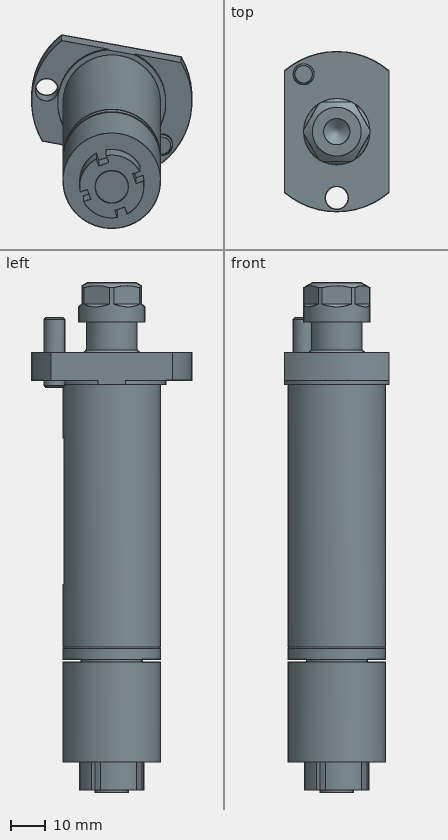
import math

import cadquery as cq

FLANGE_DIAMETER = 46.0
FLANGE_WIDTH = 30.0
FLANGE_BOTTOM = -8.0
COLLAR_DIAMETER = 31.0
COLLAR_BOTTOM = -9.2
PATTERN_RADIUS = 19.0
HOLE_DIAMETER = 6.5
PIN_DIAMETER = 6.0
PIN_ANGLE = 120.0
PIN_TOP = 10.0
PIN_BOTTOM = -10.0
PIN_CHAMFER = 0.5

BODY_DIAMETER = 28.0
BARREL_BOTTOM = -84.5
RING_CHAMFER = 0.4
RING_BOTTOM = -88.0
SLEEVE_TOP = -88.8
SLEEVE_BOTTOM = -117.5
GAP_DIAMETER = 17.5

FLAT_TOP = -24.5
FLAT_LENGTH = 42.0
FLAT_DEPTH = 0.3

COUPLING_DIAMETER = 18.4
COUPLING_BOTTOM = -125.5
CORE_DIAMETER = 9.5
CORE_BOTTOM = -126.2
SLOT_COUNT = 4
SLOT_WIDTH = 3.0
SLOT_FLOOR_RADIUS = 6.9
SLOT_START_ANGLE = -30.0

NECK_DIAMETER = 14.5
NECK_FOOT_DIAMETER = 16.0
NECK_FOOT_HEIGHT = 0.75
NUT_DIAMETER = 19.0
NUT_BOTTOM = 8.7
NUT_TOP = 20.0
NUT_FACE_DIAMETER = 14.0
NUT_CHAMFER_ANGLE = 30.0
HEX_ACROSS_FLATS = 17.0
HEX_TURN = 30.0
HEX_BOTTOM = 13.9
SHOULDER_SLOPE = 40.0
BORE_DIAMETER = 7.5
BORE_DEPTH = 20.0
BORE_TIP_ANGLE = 118.0


def cylinder(diameter, bottom, top):
    """Cylinder on the Z axis between two heights."""
    return cq.Workplane("XY").workplane(offset=bottom).circle(diameter / 2).extrude(top - bottom)


def revolve(points):
    """Solid of revolution about Z from (radius, height) points."""
    return cq.Workplane("XZ").polyline(points).close().revolve(360, (0, 0), (0, 1))


def flange():
    """Flange and collar, both trimmed to the same width."""
    discs = cylinder(FLANGE_DIAMETER, FLANGE_BOTTOM, 0)
    discs = discs.union(cylinder(COLLAR_DIAMETER, COLLAR_BOTTOM, FLANGE_BOTTOM))
    trim = cq.Workplane("XY").box(FLANGE_WIDTH, FLANGE_DIAMETER, -2 * COLLAR_BOTTOM)
    return discs.intersect(trim)


def locating_pin():
    angle = math.radians(PIN_ANGLE)
    pin = cylinder(PIN_DIAMETER, PIN_BOTTOM, PIN_TOP).faces("<Z or >Z").chamfer(PIN_CHAMFER)
    return pin.translate((PATTERN_RADIUS * math.cos(angle), PATTERN_RADIUS * math.sin(angle), 0))


def flange_hole():
    return cylinder(HOLE_DIAMETER, COLLAR_BOTTOM, 0).translate((0, -PATTERN_RADIUS, 0))


def body():
    """Barrel with its flat, chamfered ring, narrow gap and lower sleeve."""
    barrel = cylinder(BODY_DIAMETER, BARREL_BOTTOM, FLANGE_BOTTOM)
    flat_cut = (
        cq.Workplane("XY")
        .box(BODY_DIAMETER, BODY_DIAMETER, FLAT_LENGTH)
        .translate((0, BODY_DIAMETER - FLAT_DEPTH, FLAT_TOP - FLAT_LENGTH / 2))
    )
    ring = cylinder(BODY_DIAMETER, RING_BOTTOM, BARREL_BOTTOM).faces(">Z").chamfer(RING_CHAMFER)
    gap_core = cylinder(GAP_DIAMETER, SLEEVE_TOP, RING_BOTTOM)
    sleeve = cylinder(BODY_DIAMETER, SLEEVE_BOTTOM, SLEEVE_TOP)
    return barrel.cut(flat_cut).union(ring).union(gap_core).union(sleeve)


def coupling():
    """Lower coupling with radial slots around its rim and a projecting core."""
    height = SLEEVE_BOTTOM - COUPLING_BOTTOM
    hub = cylinder(COUPLING_DIAMETER, COUPLING_BOTTOM, SLEEVE_BOTTOM)
    slot = (
        cq.Workplane("XY")
        .box(COUPLING_DIAMETER, SLOT_WIDTH, height, centered=(False, True, False))
        .translate((SLOT_FLOOR_RADIUS, 0, COUPLING_BOTTOM))
    )
    for index in range(SLOT_COUNT):
        angle = SLOT_START_ANGLE + index * 360 / SLOT_COUNT
        hub = hub.cut(slot.rotate((0, 0, 0), (0, 0, 1), angle))
    return hub.union(cylinder(CORE_DIAMETER, CORE_BOTTOM, COUPLING_BOTTOM))


def neck():
    """Neck that widens in a short cone where it meets the flange."""
    return revolve([
        (0, 0),
        (NECK_FOOT_DIAMETER / 2, 0),
        (NECK_DIAMETER / 2, NECK_FOOT_HEIGHT),
        (NECK_DIAMETER / 2, NUT_BOTTOM),
        (0, NUT_BOTTOM),
    ])


def hexagon_sketch():
    """Hexagon outline at the foot of the wrench flats."""
    return (
        cq.Workplane("XY", origin=(0, 0, HEX_BOTTOM))
        .transformed(rotate=(0, 0, HEX_TURN))
        .polygon(6, HEX_ACROSS_FLATS, circumscribed=True)
    )


def nut():
    """Round blank with a conical top edge and six flats, each ending in a sloped plane."""
    radius = NUT_DIAMETER / 2
    chamfer_drop = (radius - NUT_FACE_DIAMETER / 2) * math.tan(math.radians(NUT_CHAMFER_ANGLE))
    turned_blank = revolve([
        (0, NUT_BOTTOM),
        (radius, NUT_BOTTOM),
        (radius, NUT_TOP - chamfer_drop),
        (NUT_FACE_DIAMETER / 2, NUT_TOP),
        (0, NUT_TOP),
    ])
    hexagon = hexagon_sketch().extrude(NUT_TOP - HEX_BOTTOM)
    sloped_skirt = hexagon_sketch().extrude(NUT_BOTTOM - HEX_BOTTOM, taper=SHOULDER_SLOPE - 90)
    return turned_blank.intersect(hexagon.union(sloped_skirt))


def bore():
    """Blind bore from the top with a drill-point bottom."""
    radius = BORE_DIAMETER / 2
    floor = NUT_TOP - BORE_DEPTH
    tip_depth = radius / math.tan(math.radians(BORE_TIP_ANGLE / 2))
    return revolve([(0, NUT_TOP), (radius, NUT_TOP), (radius, floor), (0, floor - tip_depth)])


result = flange().union(body()).union(coupling()).union(neck()).union(nut())
result = result.cut(flange_hole()).union(locating_pin()).cut(bore())